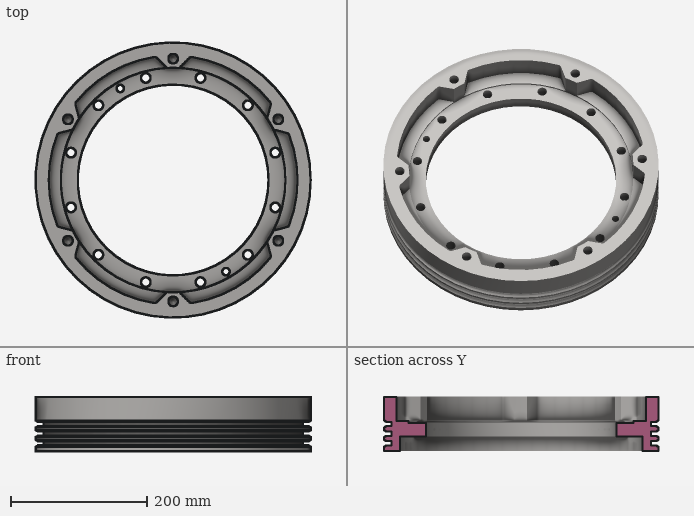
import cadquery as cq
import math

outer_radius = 202.0
height = 80.0
bore_radius = 139.8

pocket_radius = 182.5
pocket_depth = 35.0
recess_radius = 165.0
recess_depth = 38.0
flange_thickness = 21.0
flange_top = height - recess_depth
flange_bottom = flange_top - flange_thickness
underside_radius = 177.8

lug_count = 6
lug_tip_half_width = 9.3
lug_corner_radius = 5.0
lug_hole_circle = 178.0
lug_hole_diameter = 14.0
lug_hole_depth = 24.2
drill_point_angle = 118.0

flange_hole_circle = 155.0
bolt_hole_count = 12
bolt_hole_diameter = 13.7
dowel_hole_count = 2
dowel_hole_diameter = 10.5
dowel_hole_angle = 120.0

groove_count = 3
groove_pitch = 14.0
first_groove_center = 11.7
groove_width = 5.5
groove_floor_radius = 190.5
groove_chamfer_height = 2.5
groove_chamfer_depth = 3.5


def disc(radius, bottom, top):
    """Solid cylinder on the ring axis between two heights."""
    return cq.Workplane("XY").workplane(offset=bottom).circle(radius).extrude(top - bottom)


def groove(center):
    """Ring-shaped cutter for one square groove with chamfered mouth edges."""
    half_floor = groove_width / 2
    half_mouth = half_floor + groove_chamfer_height
    side_radius = outer_radius - groove_chamfer_depth
    return (
        cq.Workplane("XZ")
        .moveTo(groove_floor_radius, center - half_floor)
        .lineTo(side_radius, center - half_floor)
        .lineTo(outer_radius, center - half_mouth)
        .lineTo(outer_radius, center + half_mouth)
        .lineTo(side_radius, center + half_floor)
        .lineTo(groove_floor_radius, center + half_floor)
        .close()
        .revolve(360, (0, 0, 0), (0, 1, 0))
    )


def pocket_cutter():
    """Pocket cutter interrupted by the 45-degree lug flanks, with rounded corners."""
    tip_y = math.sqrt(recess_radius**2 - lug_tip_half_width**2)
    base_half_width = lug_tip_half_width + outer_radius - tip_y
    lug_shape = (
        cq.Workplane("XY")
        .workplane(offset=height - pocket_depth)
        .moveTo(0, tip_y - lug_tip_half_width)
        .lineTo(base_half_width, outer_radius)
        .lineTo(-base_half_width, outer_radius)
        .close()
        .extrude(pocket_depth)
    )
    cutter = disc(pocket_radius, height - pocket_depth, height)
    for index in range(lug_count):
        cutter = cutter.cut(lug_shape.rotate((0, 0, 0), (0, 0, 1), index * 360 / lug_count))
    return cutter.edges("|Z").fillet(lug_corner_radius)


def lug_hole():
    """Blind drilled hole standing on the ring axis, with a conical bottom."""
    radius = lug_hole_diameter / 2
    point_depth = radius / math.tan(math.radians(drill_point_angle / 2))
    return (
        cq.Workplane("XZ")
        .moveTo(0, height)
        .lineTo(radius, height)
        .lineTo(radius, height - lug_hole_depth)
        .lineTo(0, height - lug_hole_depth - point_depth)
        .close()
        .revolve(360, (0, 0, 0), (0, 1, 0))
    )


def flange_holes(diameter, count, start_angle):
    """Cylinders equally spaced on the flange hole circle."""
    return (
        cq.Workplane("XY")
        .workplane(offset=flange_bottom)
        .polarArray(flange_hole_circle, start_angle, 360, count)
        .circle(diameter / 2)
        .extrude(flange_thickness)
    )


result = disc(outer_radius, 0, height)
result = result.cut(disc(bore_radius, 0, height))
result = result.cut(disc(recess_radius, flange_top, height))
result = result.cut(disc(underside_radius, 0, flange_bottom))
result = result.cut(pocket_cutter())

for index in range(groove_count):
    result = result.cut(groove(first_groove_center + index * groove_pitch))

for index in range(lug_count):
    hole = lug_hole().translate((0, lug_hole_circle, 0))
    result = result.cut(hole.rotate((0, 0, 0), (0, 0, 1), index * 360 / lug_count))

half_bolt_step = 180 / bolt_hole_count
result = result.cut(flange_holes(bolt_hole_diameter, bolt_hole_count, half_bolt_step))
result = result.cut(flange_holes(dowel_hole_diameter, dowel_hole_count, dowel_hole_angle))